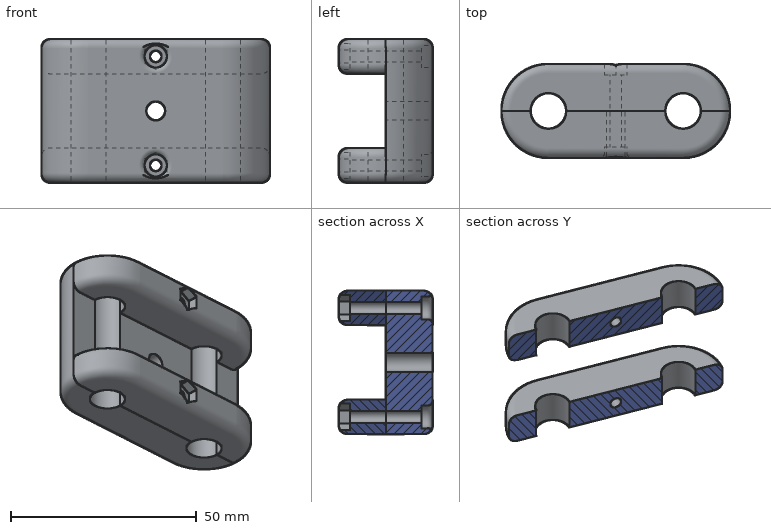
import cadquery as cq
import math

LENGTH = 61.7
WIDTH = 25.4
HEIGHT = 38.8
EDGE_RADIUS = 2.5
ROD_SPACING = LENGTH - WIDTH
ROD_DIAMETER = 9.5

CAP_HEIGHT = 9.45
CAP_OFFSET = (HEIGHT - CAP_HEIGHT) / 2

SCREW_DIAMETER = 3.0
BORE_DIAMETER = 6.0
BORE_DEPTH = 3.0
MOUTH_RADIUS = 1.5

NUT_CORNERS = 7.0
NUT_DEPTH = BORE_DEPTH

CENTER_HOLE_DIAMETER = 5.0


def rounded_block(height, center_z):
    """Stadium block with rounded rims and two upright rod holes."""
    block = (
        cq.Workplane("XY")
        .workplane(offset=center_z - height / 2)
        .slot2D(LENGTH, WIDTH)
        .extrude(height)
        .faces("<Z or >Z")
        .edges()
        .fillet(EDGE_RADIUS)
    )
    rods = (
        cq.Workplane("XY")
        .workplane(offset=center_z - height / 2)
        .pushPoints([(-ROD_SPACING / 2, 0), (ROD_SPACING / 2, 0)])
        .circle(ROD_DIAMETER / 2)
        .extrude(height)
    )
    return block.cut(rods)


def half_space(side):
    """Box filling one side of the parting plane: -1 for -Y, +1 for +Y."""
    return cq.Workplane("XY").box(LENGTH, WIDTH, HEIGHT).translate((0, side * WIDTH / 2, 0))


def screw_cutter(center_z):
    """Screw hole along Y with a round-lipped counterbore sunk from the -Y face."""
    face_y = -WIDTH / 2
    floor_y = face_y + BORE_DEPTH
    bore_radius = BORE_DIAMETER / 2
    mouth_edge = bore_radius + MOUTH_RADIUS
    lip_center = (mouth_edge, face_y + MOUTH_RADIUS)
    lip_reach = MOUTH_RADIUS * math.cos(math.radians(45))
    return (
        cq.Workplane("XY")
        .moveTo(0, face_y)
        .lineTo(mouth_edge, face_y)
        .threePointArc(
            (lip_center[0] - lip_reach, lip_center[1] - lip_reach),
            (bore_radius, lip_center[1]),
        )
        .lineTo(bore_radius, floor_y)
        .lineTo(SCREW_DIAMETER / 2, floor_y)
        .lineTo(SCREW_DIAMETER / 2, 0)
        .lineTo(0, 0)
        .close()
        .revolve(360, (0, 0), (0, 1))
        .translate((0, 0, center_z))
    )


def make_housing():
    """Full-height -Y half with both screw holes and the center hole."""
    housing = rounded_block(HEIGHT, 0).intersect(half_space(-1))
    for center_z in (-CAP_OFFSET, CAP_OFFSET):
        housing = housing.cut(screw_cutter(center_z))
    center_hole = cq.Workplane("XZ").circle(CENTER_HOLE_DIAMETER / 2).extrude(WIDTH / 2)
    return housing.cut(center_hole)


def make_cap(center_z):
    """Short +Y half with a screw hole and a nut pocket sunk from the +Y face."""
    cap = rounded_block(CAP_HEIGHT, center_z).intersect(half_space(1))
    screw_hole = (
        cq.Workplane("XZ")
        .circle(SCREW_DIAMETER / 2)
        .extrude(-WIDTH / 2)
        .translate((0, 0, center_z))
    )
    nut_pocket = (
        cq.Workplane("XZ", origin=(0, WIDTH / 2, 0))
        .polygon(6, NUT_CORNERS)
        .extrude(NUT_DEPTH)
        .rotate((0, 0, 0), (0, 1, 0), 90)
        .translate((0, 0, center_z))
    )
    return cap.cut(screw_hole).cut(nut_pocket)


housing = make_housing()
caps = [make_cap(center_z) for center_z in (-CAP_OFFSET, CAP_OFFSET)]

result = cq.Compound.makeCompound([housing.val(), *[cap.val() for cap in caps]])